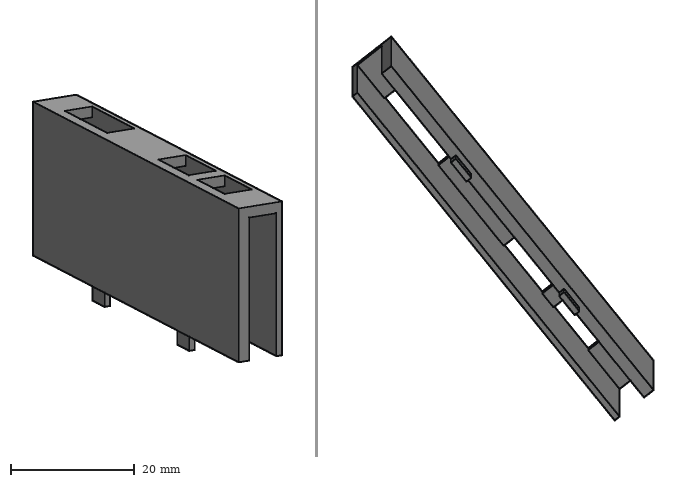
import cadquery as cq

length = 68.0
back_wall = 1.0
channel_width = 5.0
front_wall = 2.0
depth = front_wall + channel_width + back_wall
body_height = 26.0
roof = 1.85

tab_length = 4.0
tab_thickness = 1.0
tab_drop = 3.0
tab_starts = (17.95, 46.0)

windows = ((7.0, 14.0), (37.95, 10.0), (50.85, 9.0))


def corner_box(x, y, z, size_x, size_y, size_z):
    """Box whose lowest corner is at (x, y, z)."""
    return cq.Workplane("XY").box(size_x, size_y, size_z, centered=False).translate((x, y, z))


result = corner_box(0, 0, 0, length, depth, body_height)
result = result.cut(corner_box(0, front_wall, 0, length, channel_width, body_height - roof))

for start, window_length in windows:
    result = result.cut(
        corner_box(start, front_wall, body_height - roof, window_length, channel_width, roof)
    )

for start in tab_starts:
    result = result.union(
        corner_box(start, front_wall - tab_thickness, -tab_drop, tab_length, tab_thickness, tab_drop)
    )